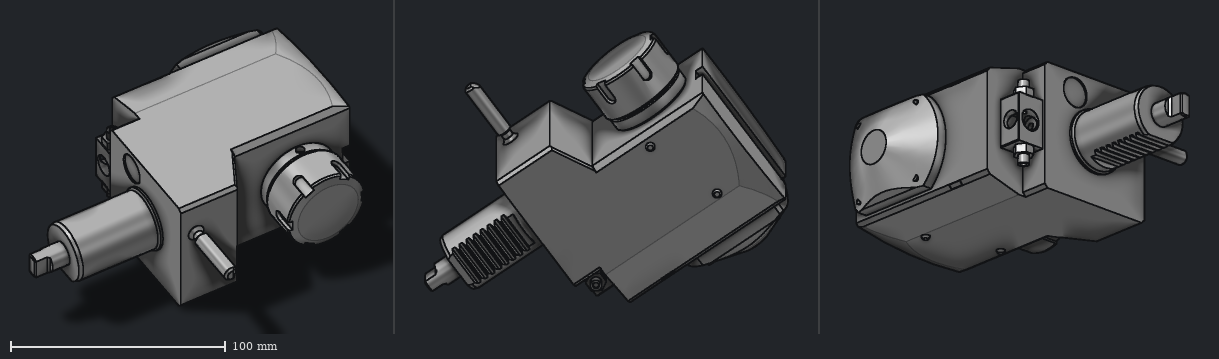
import cadquery as cq
import math


HALF_HEIGHT = 32.0
FRONT_HALF_WIDTH = 32.0
BACK_Y = 104.0
STEP_Y = 15.0
LEFT_X = -55.0
NECK_X = 12.3
NECK_Y = 41.0
SHOULDER_Y = 30.7
FRONT_CHAMFER = 1.8
SHOULDER_CHAMFER = 1.0
NECK_CHAMFER_X = 3.2
NECK_CHAMFER_Z = 2.3
FLANK_TOP_X = -34.7
FLANK_EDGE_X = -53.1
FLANK_EDGE_Z = 27.0
LEFT_FACE_Z = 24.9
MARK_LENGTH = 7.3
MARK_DEPTH = 0.3
CROWN_X = -8.3
CROWN_Z = 31.2
CROWN_RADIUS = 215.8
CROWN_RISE = 0.2
BACK_SLOT_HALF = 5.1
BACK_SLOT_DEPTH = 4.0
PLUG_X, PLUG_Z = -12.5, 21.7
PLUG_RADIUS = 7.5
PLUG_DEPTH = 0.8
SCREW_PLACES = [(-32.0, 81.0), (5.0, 69.0)]
SCREW_RADIUS = 2.2
SCREW_TOP_RADIUS = 1.3
SCREW_HEIGHT = 1.3

AXIS_Y = 75.0
COVER_RADIUS = 32.0
COVER_TIP_RADIUS = 8.5
COVER_TIP_X = -71.0
COVER_RIM_X = -60.1
COVER_HALF_HEIGHT = 23.2
COVER_BACK = 24.0
COVER_CORNER = 1.8
FACET_X = -61.3
FACET_SLOPE = 0.55
COVER_SCREW_OFFSET = 19.1
COVER_SCREW_RADIUS = 1.5
COVER_SCREW_X = -62.5

COLLAR_RADIUS = 20.0
COLLAR_END = 19.0
COLLAR_CHAMFER = 0.7
COLLAR_HOLE_X = 15.6
COLLAR_HOLE_RADIUS = 2.2
COLLAR_HOLE_DEPTH = 3.3
GROOVE_RADIUS = 17.5
NUT_START = 19.8
NUT_RADIUS = 20.9
NUT_BEVEL_X = 38.2
NUT_SHOULDER_X = 39.3
NUT_SHOULDER_RADIUS = 20.5
NUT_FACE_RADIUS = 16.5
NUT_END = 40.5
NUT_EDGE = 0.5
NUT_SLOTS = 6
NUT_SLOT_START = 28.4
NUT_SLOT_WIDTH = 5.3
NUT_SLOT_DEPTH = 2.2

SHANK_RADIUS = 15.0
SHANK_LENGTH = 44.8
SHANK_BEVEL_LENGTH = 2.0
SHANK_BEVEL_DEPTH = 0.7
FLANGE_RADIUS = 16.0
FLANGE_LENGTH = 1.2
FLANGE_END = 2.2
FLAT_Z = -12.1
FLAT_START = 7.0
TEETH_GAPS = 8
TEETH_PITCH = 4.0
FIRST_GAP = 11.8
GAP_DEPTH = 1.5
GAP_MOUTH = 3.2
GAP_ROOT = 1.5
TANG_RADIUS = 6.0
TANG_START = 54.1
TANG_END = 62.0
TANG_HALF_WIDTH = 3.0
TANG_CHAMFER = 0.7
TANG_ROOT_WIDTH = 0.8
TANG_ROOT_LENGTH = 1.3

BLOCK_LEFT = -47.5
BLOCK_FRONT, BLOCK_BACK = 1.3, 14.0
BLOCK_HALF_HEIGHT = 12.3
BLOCK_CHAMFER = 0.42
STUD_X, STUD_Y = -40.0, 6.0
STUD_RADIUS = 2.7
STUD_TOP = 21.0
STUD_SEAT_RADIUS = 1.5
STUD_SEAT_Z = 6.6
SOCKET_RADIUS = 1.5
SOCKET_DEPTH = 1.7
HEX_CORNERS = 9.8
HEX_TOP = 16.6
FRONT_PORT_RADIUS = 5.3
FRONT_PORT_DEPTH = 11.0
SIDE_PORT_RADIUS = 4.5
SIDE_PORT_Y = 7.0
SIDE_PORT_DEPTH = 13.0
SIDE_BORE_RADIUS = 1.7

PIN_Y, PIN_Z = 8.3, 13.5
PIN_RADIUS = 3.7
PIN_START = 37.4
PIN_NECK_END = 36.5
PIN_END = 64.9
PIN_SLANT = 3.2
PIN_TIP_CHAMFER = 1.2
PIN_NECK_RADIUS = 2.5
PIN_BASE_RADIUS = 4.2
PIN_BASE_END = 33.9


def slab(x0, x1, y0, y1, z0, z1):
    """Box given by its limits."""
    return cq.Workplane("XY").box(x1 - x0, y1 - y0, z1 - z0, centered=False).translate((x0, y0, z0))


def rod_x(y, z, radius, x0, x1):
    """Cylinder along X."""
    return cq.Workplane("YZ", origin=(x0, y, z)).circle(radius).extrude(x1 - x0)


def rod_y(x, z, radius, y0, y1):
    """Cylinder along Y."""
    return cq.Workplane("XZ", origin=(x, y0, z)).circle(radius).extrude(y0 - y1)


def turned_x(y, z, profile):
    """Solid turned about an X axis; the profile lists (x, radius) points."""
    outline = [(profile[0][0], 0)] + profile + [(profile[-1][0], 0)]
    turned = cq.Workplane("XY").polyline(outline).close().revolve(360, (0, 0, 0), (1, 0, 0))
    return turned.translate((0, y, z))


def front_body():
    outline = [
        (-FRONT_HALF_WIDTH, 0),
        (FRONT_HALF_WIDTH, 0),
        (FRONT_HALF_WIDTH, SHOULDER_Y),
        (NECK_X, NECK_Y),
        (-FRONT_HALF_WIDTH, NECK_Y),
    ]
    body = cq.Workplane("XY").polyline(outline).close().extrude(HALF_HEIGHT, both=True)
    shoulder = cq.Vector(NECK_X - FRONT_HALF_WIDTH, NECK_Y - SHOULDER_Y, 0)
    body = body.edges("|Y").chamfer(FRONT_CHAMFER)
    sloping_edges = cq.selectors.ParallelDirSelector(shoulder)
    return body.edges(sloping_edges).chamfer(SHOULDER_CHAMFER)


def rear_crown():
    """Long cylinder whose flank is the arched bevel on the top rear edge."""
    tilt = math.atan(CROWN_RISE)
    axis = cq.Vector(0, -math.cos(tilt), math.sin(tilt))
    apex = cq.Vector(CROWN_X, BACK_Y, CROWN_Z)
    start = apex - cq.Vector(0, math.sin(tilt), math.cos(tilt)) * CROWN_RADIUS - axis * CROWN_RADIUS
    return cq.Workplane(obj=cq.Solid.makeCylinder(CROWN_RADIUS, 2 * CROWN_RADIUS, start, axis))


def rear_body():
    upper = [
        (LEFT_X, LEFT_FACE_Z),
        (FLANK_EDGE_X, FLANK_EDGE_Z),
        (FLANK_TOP_X, HALF_HEIGHT),
        (NECK_X - NECK_CHAMFER_X, HALF_HEIGHT),
        (NECK_X, HALF_HEIGHT - NECK_CHAMFER_Z),
    ]
    lower = [(x, -z) for x, z in reversed(upper)]
    front_plane = cq.Workplane("XZ", origin=(0, STEP_Y, 0))
    body = front_plane.polyline(upper + lower).close().extrude(STEP_Y - BACK_Y)
    crown = rear_crown()
    body = body.intersect(crown).intersect(crown.mirror("XY"))
    for side in (1, -1):
        notch = [
            (LEFT_X, side * LEFT_FACE_Z),
            (FLANK_EDGE_X, side * FLANK_EDGE_Z),
            (FLANK_EDGE_X, side * (FLANK_EDGE_Z - MARK_DEPTH)),
            (LEFT_X + MARK_DEPTH, side * LEFT_FACE_Z),
        ]
        notch_outline = cq.Workplane("XZ", origin=(0, NECK_Y, 0)).polyline(notch).close()
        body = body.cut(notch_outline.extrude(MARK_LENGTH))
    return body.cut(
        slab(LEFT_X, NECK_X, BACK_Y - BACK_SLOT_DEPTH, BACK_Y, -BACK_SLOT_HALF, BACK_SLOT_HALF)
    )


def housing():
    body = front_body().union(rear_body())
    body = body.cut(rod_y(PLUG_X, PLUG_Z, PLUG_RADIUS, 0, PLUG_DEPTH))
    for x, y in SCREW_PLACES:
        head = cq.Solid.makeCone(
            SCREW_RADIUS, SCREW_TOP_RADIUS, SCREW_HEIGHT, cq.Vector(x, y, -HALF_HEIGHT), cq.Vector(0, 0, -1)
        )
        body = body.union(cq.Workplane(obj=head))
    return body


def cover():
    cone = turned_x(
        AXIS_Y,
        0,
        [(COVER_TIP_X, COVER_TIP_RADIUS), (COVER_RIM_X, COVER_RADIUS), (LEFT_X, COVER_RADIUS)],
    )
    for side_y in (1, -1):
        for side_z in (1, -1):
            cone = cone.union(
                rod_x(
                    AXIS_Y + side_y * COVER_SCREW_OFFSET,
                    side_z * COVER_SCREW_OFFSET,
                    COVER_SCREW_RADIUS,
                    COVER_SCREW_X,
                    LEFT_X,
                )
            )
    facet_drop = FACET_SLOPE * (FACET_X - COVER_TIP_X)
    upper = [
        (COVER_TIP_X, COVER_HALF_HEIGHT - facet_drop),
        (FACET_X, COVER_HALF_HEIGHT),
        (LEFT_X, COVER_HALF_HEIGHT),
    ]
    lower = [(x, -z) for x, z in reversed(upper)]
    envelope_length = COVER_BACK + COVER_RADIUS
    envelope = (
        cq.Workplane("XZ", origin=(0, AXIS_Y + COVER_BACK, 0))
        .polyline(upper + lower)
        .close()
        .extrude(envelope_length)
    )
    corners = slab(
        COVER_TIP_X,
        LEFT_X,
        AXIS_Y - COVER_RADIUS,
        AXIS_Y + COVER_BACK,
        -COVER_HALF_HEIGHT,
        COVER_HALF_HEIGHT,
    )
    corners = corners.edges("|X and >Y").chamfer(COVER_CORNER)
    return cone.intersect(envelope).intersect(corners)


def nut_slot(angle):
    """Round-ended slot cutter in the nut rim, turned about the spindle axis from +Z."""
    radius = NUT_SLOT_WIDTH / 2
    floor = NUT_RADIUS - NUT_SLOT_DEPTH
    start = NUT_SLOT_START + radius
    cutter = slab(start, NUT_END, -radius, radius, floor, NUT_RADIUS)
    round_end = cq.Workplane("XY", origin=(start, 0, floor)).circle(radius).extrude(NUT_SLOT_DEPTH)
    return cutter.union(round_end).rotate((0, 0, 0), (1, 0, 0), angle).translate((0, AXIS_Y, 0))


def spindle():
    profile = [
        (NECK_X, COLLAR_RADIUS - COLLAR_CHAMFER),
        (NECK_X + COLLAR_CHAMFER, COLLAR_RADIUS),
        (COLLAR_END - COLLAR_CHAMFER, COLLAR_RADIUS),
        (COLLAR_END, COLLAR_RADIUS - COLLAR_CHAMFER),
        (COLLAR_END, GROOVE_RADIUS),
        (NUT_START, GROOVE_RADIUS),
        (NUT_START, NUT_RADIUS - NUT_EDGE),
        (NUT_START + NUT_EDGE, NUT_RADIUS),
        (NUT_BEVEL_X, NUT_RADIUS),
        (NUT_SHOULDER_X, NUT_SHOULDER_RADIUS),
        (NUT_END, NUT_FACE_RADIUS),
    ]
    body = turned_x(AXIS_Y, 0, profile)
    slot_step = 360 / NUT_SLOTS
    for index in range(NUT_SLOTS):
        body = body.cut(nut_slot((index + 0.5) * slot_step))
    hole = (
        cq.Workplane("XY", origin=(COLLAR_HOLE_X, AXIS_Y, COLLAR_RADIUS - COLLAR_HOLE_DEPTH))
        .circle(COLLAR_HOLE_RADIUS)
        .extrude(COLLAR_HOLE_DEPTH)
    )
    return body.cut(hole)


def shank():
    outline = [
        (0, 0),
        (FLANGE_RADIUS, 0),
        (FLANGE_RADIUS, -FLANGE_LENGTH),
        (SHANK_RADIUS, -FLANGE_END),
        (SHANK_RADIUS, -SHANK_LENGTH + SHANK_BEVEL_LENGTH),
        (SHANK_RADIUS - SHANK_BEVEL_DEPTH, -SHANK_LENGTH),
        (0, -SHANK_LENGTH),
    ]
    body = cq.Workplane("XY").polyline(outline).close().revolve(360, (0, 0, 0), (0, 1, 0))
    body = body.cut(
        slab(-SHANK_RADIUS, SHANK_RADIUS, -SHANK_LENGTH, -FLAT_START, -SHANK_RADIUS, FLAT_Z)
    )
    gap = [
        (-GAP_MOUTH / 2, FLAT_Z),
        (-GAP_ROOT / 2, FLAT_Z + GAP_DEPTH),
        (GAP_ROOT / 2, FLAT_Z + GAP_DEPTH),
        (GAP_MOUTH / 2, FLAT_Z),
    ]
    cutter = cq.Workplane("YZ").polyline(gap).close().extrude(SHANK_RADIUS, both=True)
    for index in range(TEETH_GAPS):
        body = body.cut(cutter.translate((0, -FIRST_GAP - index * TEETH_PITCH, 0)))
    return body.union(tang())


def tang():
    round_part = rod_y(0, 0, TANG_RADIUS, -TANG_START, -SHANK_LENGTH)
    blade = rod_y(0, 0, TANG_RADIUS, -TANG_END, -TANG_START)
    right = [
        (TANG_HALF_WIDTH + TANG_ROOT_WIDTH, -TANG_START),
        (TANG_HALF_WIDTH, -TANG_START - TANG_ROOT_LENGTH),
        (TANG_HALF_WIDTH, -TANG_END),
    ]
    left = [(-x, y) for x, y in reversed(right)]
    outline = cq.Workplane("XY").polyline(right + left).close()
    blade = blade.intersect(outline.extrude(TANG_RADIUS, both=True))
    blade = blade.faces("<Y").chamfer(TANG_CHAMFER)
    return round_part.union(blade)


def coolant_block():
    block = slab(
        BLOCK_LEFT, -FRONT_HALF_WIDTH, BLOCK_FRONT, BLOCK_BACK, -BLOCK_HALF_HEIGHT, BLOCK_HALF_HEIGHT
    )
    block = block.faces("<X").chamfer(BLOCK_CHAMFER)
    block = block.cut(
        rod_y(STUD_X, 0, FRONT_PORT_RADIUS, BLOCK_FRONT, BLOCK_FRONT + FRONT_PORT_DEPTH)
    )
    side_port_end = BLOCK_LEFT + SIDE_PORT_DEPTH
    block = block.cut(rod_x(SIDE_PORT_Y, 0, SIDE_PORT_RADIUS, BLOCK_LEFT, side_port_end))
    block = block.cut(rod_x(SIDE_PORT_Y, 0, SIDE_BORE_RADIUS, BLOCK_LEFT, -FRONT_HALF_WIDTH))
    seat = cq.Workplane("XY", origin=(STUD_X, STUD_Y, BLOCK_HALF_HEIGHT))
    fitting = seat.polygon(6, HEX_CORNERS).extrude(HEX_TOP - BLOCK_HALF_HEIGHT)
    fitting = fitting.union(seat.circle(STUD_RADIUS).extrude(STUD_TOP - BLOCK_HALF_HEIGHT))
    socket = cq.Workplane("XY", origin=(STUD_X, STUD_Y, STUD_TOP)).circle(SOCKET_RADIUS)
    fitting = fitting.cut(socket.extrude(-SOCKET_DEPTH))
    block = block.union(fitting).union(fitting.mirror("XY"))
    stud_seats = cq.Workplane("XY", origin=(STUD_X, STUD_Y, 0)).circle(STUD_SEAT_RADIUS)
    return block.cut(stud_seats.extrude(STUD_SEAT_Z, both=True))


def driving_pin():
    """Round pin with a slanted flat at its tip."""
    neck = turned_x(
        PIN_Y,
        PIN_Z,
        [
            (FRONT_HALF_WIDTH, PIN_BASE_RADIUS),
            (PIN_BASE_END, PIN_NECK_RADIUS),
            (PIN_NECK_END, PIN_NECK_RADIUS),
            (PIN_START, PIN_RADIUS),
        ],
    )
    shaft = rod_x(PIN_Y, PIN_Z, PIN_RADIUS, PIN_START, PIN_END)
    shaft = shaft.faces(">X").chamfer(PIN_TIP_CHAMFER)
    back_y = PIN_Y + PIN_RADIUS
    slant = [(PIN_END - PIN_SLANT, back_y), (PIN_END, back_y), (PIN_END, back_y - PIN_SLANT)]
    slant_cutter = (
        cq.Workplane("XY", origin=(0, 0, PIN_Z)).polyline(slant).close().extrude(PIN_RADIUS, both=True)
    )
    return neck.union(shaft.cut(slant_cutter))


result = (
    housing()
    .union(cover())
    .union(spindle())
    .union(shank())
    .union(coolant_block())
    .union(driving_pin())
)